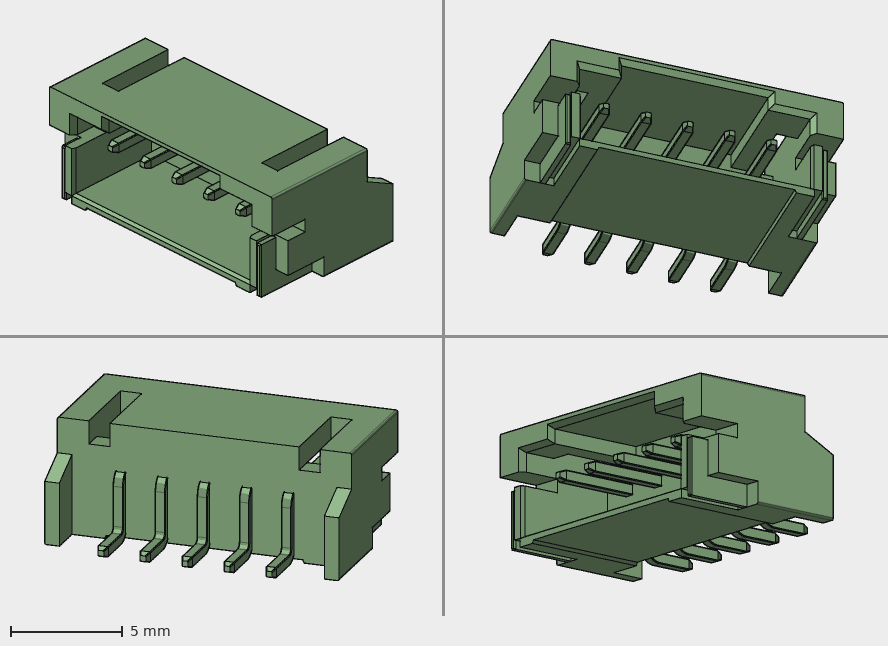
import cadquery as cq
import math


width = 14.0
height = 5.5
body_depth = 6.05
edge_radius = 0.1
side_signs = (-1, 1)

leg_depth = 7.7
leg_width = 0.7
leg_top_rear = 3.0
leg_top_body = 3.8

cavity_depth = 5.0
cavity_floor = 0.5
cavity_half = 5.5
cavity_shoulder = 4.4
key_half = 3.5
cavity_roof = 5.08
mouth_lead = 0.22
mouth_depth = 0.27
lower_lead = 0.09
lower_lead_depth = 0.19

top_slot_width = 1.0
top_slot_front = 1.87

window_bottom = 2.85
window_top = 3.5
window_depth = 2.1

tab_inner = 6.0
tab_thickness = 0.25
tab_height = 2.72
tab_bevel = 0.05
tab_bevel_depth = 0.08
recess_depth = 1.0
low_recess_depth = 3.3
low_recess_height = 1.05
foot_pocket_inner = 5.6
foot_pocket_height = cavity_floor - lower_lead

channel_height = 0.15
channel_half = 4.67
channel_flare = 0.08

pin_count = 5
pitch = 2.0
pin_size = 0.5
pin_edge = 0.04
pin_tip_length = 0.3
pin_tip_inset = 0.11
pin_front = 0.85
pin_rear = 8.6
pin_axis_z = 3.15
foot_axis_z = pin_size / 2
post_axis_y = 6.1
bend_radius = 0.5


def block(x_range, y_range, z_range):
    """A box between two limits along each axis."""
    size = [high - low for low, high in (x_range, y_range, z_range)]
    start = (x_range[0], y_range[0], z_range[0])
    return cq.Workplane("XY").box(*size, centered=False).translate(start)


def side_block(sign, inner, outer, y_range, z_range):
    """A box from |x| = inner to |x| = outer on the side that sign gives."""
    x_range = sorted((sign * inner, sign * outer))
    return block(x_range, y_range, z_range)


def front_profile(points):
    """A closed profile in the front plane, from (x, z) points."""
    return cq.Workplane("XZ").polyline(points).close()




def mirrored(right_half):
    """A symmetric closed outline from its right half, listed from bottom to top."""
    return right_half + [(-x, z) for x, z in reversed(right_half)]


def outer_shell():
    """The side profile across the full width, with the space between the rear legs removed."""
    profile = [
        (0, 0),
        (leg_depth, 0),
        (leg_depth, leg_top_rear),
        (body_depth, leg_top_body),
        (body_depth, height),
        (0, height),
    ]
    shell = cq.Workplane("YZ").polyline(profile).close().extrude(width / 2, both=True)
    long_edges = shell.edges("|Y").edges(">X or <X")
    shell = shell.newObject(long_edges.vals()).fillet(edge_radius)
    between_legs = width / 2 - leg_width
    return shell.cut(block((-between_legs, between_legs), (body_depth, leg_depth), (0, height)))


def cavity_outline(lead):
    """The cavity outline, narrower at the top, moved outward by lead on every side."""
    side = cavity_half + lead
    key = key_half + lead
    shoulder = cavity_shoulder + lead
    floor = cavity_floor - lead
    roof = cavity_roof + lead
    return mirrored([(side, floor), (side, shoulder), (key, shoulder), (key, roof)])


def lead_in(lead, depth, z_range):
    """A taper from the front plane down to the cavity outline, kept within z_range."""
    wide = [cq.Vector(x, 0, z) for x, z in cavity_outline(lead)]
    narrow = [cq.Vector(x, depth, z) for x, z in cavity_outline(0)]
    ends = [cq.Wire.makePolygon(points, close=True) for points in (wide, narrow)]
    taper = cq.Workplane(cq.Solid.makeLoft(ends, True))
    return taper.intersect(block((-width, width), (0, depth), z_range))


def cavity():
    """The stepped cavity, with a larger lead-in above the side windows' lower edge than below."""
    hollow = front_profile(cavity_outline(0)).extrude(-cavity_depth)
    upper = lead_in(mouth_lead, mouth_depth, (window_bottom, height))
    lower = lead_in(lower_lead, lower_lead_depth, (0, window_bottom))
    return hollow.union(upper).union(lower)


def underside_channel():
    """A full-depth channel whose sides flare outward toward the board."""
    right_half = [(channel_half + channel_flare, 0), (channel_half, channel_height)]
    return front_profile(mirrored(right_half)).extrude(-body_depth)


def side_cuts(sign):
    """Everything cut at one end: top slot, side window and tab recess."""
    half = width / 2
    slot_inner = cavity_half - top_slot_width
    slot = side_block(
        sign, slot_inner, cavity_half, (top_slot_front, body_depth), (cavity_shoulder, height)
    )
    window = side_block(sign, cavity_half, half, (0, window_depth), (window_bottom, window_top))
    front_recess = side_block(sign, tab_inner, half, (0, recess_depth), (0, window_bottom))
    low_recess = side_block(
        sign, tab_inner, half, (0, low_recess_depth), (0, low_recess_height)
    )
    foot_pocket = side_block(
        sign, foot_pocket_inner, tab_inner, (0, low_recess_depth), (0, foot_pocket_height)
    )
    return [slot, window, front_recess, low_recess, foot_pocket]


def make_housing(pins):
    """The finished housing, with a matching passage for each pin."""
    housing = outer_shell().cut(cavity()).cut(underside_channel())
    for sign in side_signs:
        for cutter in side_cuts(sign):
            housing = housing.cut(cutter)
    for pin in pins:
        housing = housing.cut(pin)
    return housing




def pin_section(y, inset, axis_z):
    """The square pin section with bevelled corners, shrunk by inset on every side."""
    half = pin_size / 2 - inset
    flat = half - pin_edge
    corners = [(half, flat), (flat, half), (-flat, half), (-half, flat)]
    corners += [(-x, -z) for x, z in corners]
    points = [cq.Vector(x, y, axis_z + z) for x, z in corners]
    return cq.Wire.makePolygon(points, close=True)


def pin_tip(end_y, shoulder_y, axis_z):
    """A taper from the full section at the shoulder to a smaller one at the end."""
    end = pin_section(end_y, pin_tip_inset, axis_z)
    shoulder = pin_section(shoulder_y, 0, axis_z)
    return cq.Workplane(cq.Solid.makeLoft([end, shoulder], True))


def make_pin(x):
    """A right-angle pin: mating end forward, post down, solder foot to the rear."""
    front_shoulder = pin_front + pin_tip_length
    rear_shoulder = pin_rear - pin_tip_length
    bend_offset = bend_radius * math.sqrt(0.5)
    upper_centre = (post_axis_y - bend_radius, pin_axis_z - bend_radius)
    lower_centre = (post_axis_y + bend_radius, foot_axis_z + bend_radius)
    path = (
        cq.Workplane("YZ")
        .moveTo(front_shoulder, pin_axis_z)
        .lineTo(upper_centre[0], pin_axis_z)
        .threePointArc(
            (upper_centre[0] + bend_offset, upper_centre[1] + bend_offset),
            (post_axis_y, upper_centre[1]),
        )
        .lineTo(post_axis_y, lower_centre[1])
        .threePointArc(
            (lower_centre[0] - bend_offset, lower_centre[1] - bend_offset),
            (lower_centre[0], foot_axis_z),
        )
        .lineTo(rear_shoulder, foot_axis_z)
    )
    section = pin_section(front_shoulder, 0, pin_axis_z)
    shank = cq.Workplane(cq.Solid.sweep(section, [], path.wire().val()))
    front_tip = pin_tip(pin_front, front_shoulder, pin_axis_z)
    rear_tip = pin_tip(pin_rear, rear_shoulder, foot_axis_z)
    return shank.union(front_tip).union(rear_tip).translate((x, 0, 0))




def tab_front(y, sign, inset):
    """The tab's front rectangle at the given y, shrunk by inset on every side."""
    inner = sign * (tab_inner + inset)
    outer = sign * (tab_inner + tab_thickness - inset)
    low = inset
    high = tab_height - inset
    corners = [(inner, low), (outer, low), (outer, high), (inner, high)]
    return cq.Wire.makePolygon([cq.Vector(x, y, z) for x, z in corners], close=True)


def make_tab(sign):
    """An upright L-shaped plate whose front end is bevelled all round."""
    outer = tab_inner + tab_thickness
    upright = side_block(
        sign, tab_inner, outer, (tab_bevel_depth, recess_depth), (0, tab_height)
    )
    arm = side_block(
        sign, tab_inner, outer, (recess_depth, low_recess_depth), (0, low_recess_height)
    )
    front_end = [tab_front(0, sign, tab_bevel), tab_front(tab_bevel_depth, sign, 0)]
    bevel = cq.Workplane(cq.Solid.makeLoft(front_end, True))
    return upright.union(arm).union(bevel)


pins = [make_pin((i - (pin_count - 1) / 2) * pitch) for i in range(pin_count)]
tabs = [make_tab(sign) for sign in side_signs]
housing = make_housing(pins)

bodies = [housing] + pins + tabs
result = cq.Compound.makeCompound([body.solids().val() for body in bodies])